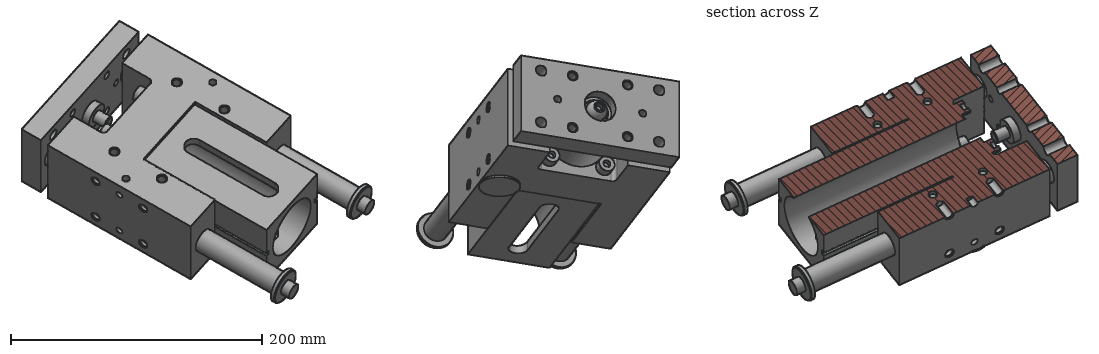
import cadquery as cq
import math

TOTAL_LENGTH = 256.0

PLATE_THICKNESS = 19.0
PLATE_WIDTH = 134.0
PLATE_HEIGHT = 68.0

ROD_DIAMETER = 20.0
ROD_SPACING = 104.0
WASHER_DIAMETER = 30.0
WASHER_THICKNESS = 3.8
WASHER_CHAMFER = 0.8
END_PIN_DIAMETER = 13.0
END_PIN_LENGTH = 8.0

COUPLING_BORE_DIAMETER = 26.0
COUPLING_BORE_DEPTH = 10.2
SOCKET_DIAMETER = 21.0
SOCKET_DEPTH = 12.3
BALL_DIAMETER = 17.5
BALL_CENTER_DEPTH = 9.0
BALL_FLAT_DIAMETER = 9.0
BALL_HOLE_DIAMETER = 6.0
BALL_HOLE_DEPTH = 4.0
COLLAR_DIAMETER = 21.0
COLLAR_LENGTH = 6.7
STUD_DIAMETER = 10.5
STUD_LENGTH = 12.0
STUD_CHAMFER = 0.8

HOUSING_GAP = 8.0
HOUSING_LENGTH = 140.0
HOUSING_WIDTH = 137.0
HOUSING_TOP = 35.0
NOTCH_DEPTH = 30.2
NOTCH_WIDTH = 66.0
NOTCH_CORNER_RADIUS = 3.5
FOOT_DIAMETER = 33.0
FOOT_HEIGHT = 1.8
FOOT_X = 93.0

BLOCK_LENGTH = 120.0
BLOCK_WIDTH = 69.0
BLOCK_HEIGHT = 65.0
POCKET_CLEARANCE = 0.8
SLOT_LENGTH = 88.8
SLOT_WIDTH = 15.5
SLOT_CENTER_FROM_BLOCK_FRONT = 60.7
BORE_DIAMETER = 51.7
GROOVE_HEIGHT = 3.0
GROOVE_DEPTH = 3.0

SCREW_HEAD_DIAMETER = 13.0
SCREW_HEAD_LENGTH = 8.0
SCREW_SOCKET_DIAMETER = 6.0
SCREW_SOCKET_DEPTH = 4.0

HOLE_PITCH = 46.5
TAPPED_DIAMETER = 6.7
TAPPED_MOUTH_DIAMETER = 8.5
TAPPED_DEPTH = 15.0
DRILL_TIP_ANGLE = 118
DOWEL_DIAMETER = 6.0
DOWEL_DEPTH = 8.0
TOP_TAPPED_SPACING = 85.5
TOP_DOWEL_SPACING = 118.8
PLATE_BOLT_DIAMETER = 9.0
PLATE_BOLT_SPACING = 99.8
PLATE_DOWEL_SPACING = 72.0

PLATE_BOTTOM = -PLATE_HEIGHT / 2
HOUSING_FRONT = PLATE_THICKNESS + HOUSING_GAP
HOUSING_REAR = HOUSING_FRONT + HOUSING_LENGTH
HOUSING_MIDDLE = HOUSING_FRONT + HOUSING_LENGTH / 2
HOUSING_BOTTOM = PLATE_BOTTOM
NOTCH_WALL = HOUSING_FRONT + NOTCH_DEPTH
BLOCK_FRONT = HOUSING_MIDDLE
BLOCK_REAR = BLOCK_FRONT + BLOCK_LENGTH


def box(x_start, x_end, width, z_bottom, z_top):
    """Box centred on Y = 0."""
    return (
        cq.Workplane("XY", origin=(0, 0, z_bottom))
        .moveTo((x_start + x_end) / 2, 0)
        .rect(x_end - x_start, width)
        .extrude(z_top - z_bottom)
    )


def cylinder_x(diameter, x_start, x_end, y=0.0, z=0.0):
    """Cylinder along X."""
    return cq.Workplane("YZ", origin=(x_start, y, z)).circle(diameter / 2).extrude(x_end - x_start)


def drill(body, plane, points, diameter, depth):
    """Flat-bottomed holes sunk into body from a plane whose normal points out of the body."""
    return body.cut(cq.Workplane(plane).pushPoints(points).circle(diameter / 2).extrude(-depth))


def tapped_holes(body, plane, points, depth):
    """Holes with a chamfered mouth, straight down to depth and then a conical drill tip."""
    radius = TAPPED_DIAMETER / 2
    mouth_radius = TAPPED_MOUTH_DIAMETER / 2
    chamfer = mouth_radius - radius
    tip = radius / math.tan(math.radians(DRILL_TIP_ANGLE / 2))
    profile = [
        (0, 0),
        (mouth_radius, 0),
        (radius, -chamfer),
        (radius, -depth),
        (0, -depth - tip),
    ]
    tool = cq.Workplane("XZ").polyline(profile).close().revolve(360, (0, 0, 0), (0, 1, 0)).val()
    for u, v in points:
        hole_plane = cq.Plane(origin=plane.toWorldCoords((u, v, 0)), xDir=plane.xDir, normal=plane.zDir)
        body = body.cut(cq.Workplane(tool.moved(cq.Location(hole_plane))))
    return body


def corners(u_spacing, v_spacing, u_center=0.0):
    """Four points of a rectangle centred on (u_center, 0)."""
    return [
        (u_center + u_side * u_spacing / 2, v_side * v_spacing / 2)
        for u_side in (-1, 1)
        for v_side in (-1, 1)
    ]


def coupling():
    """Ball with a flat and a round hole, carried by a collar and a stud behind the plate."""
    collar_end = PLATE_THICKNESS + COLLAR_LENGTH
    stud_end = collar_end + STUD_LENGTH
    ball_radius = BALL_DIAMETER / 2
    flat_depth = BALL_CENTER_DEPTH - math.sqrt(ball_radius**2 - (BALL_FLAT_DIAMETER / 2) ** 2)
    ball = (
        cq.Workplane("XY", origin=(BALL_CENTER_DEPTH, 0, 0))
        .sphere(ball_radius)
        .intersect(cylinder_x(BALL_DIAMETER, flat_depth, PLATE_THICKNESS))
        .cut(cylinder_x(BALL_HOLE_DIAMETER, flat_depth, flat_depth + BALL_HOLE_DEPTH))
    )
    collar = cylinder_x(COLLAR_DIAMETER, PLATE_THICKNESS, collar_end)
    stud = cylinder_x(STUD_DIAMETER, collar_end, stud_end).faces(">X").chamfer(STUD_CHAMFER)
    return ball.union(collar).union(stud)


def guide_rod(y):
    """Rod with a chamfered washer and an end pin."""
    washer_end = TOTAL_LENGTH - END_PIN_LENGTH
    washer_start = washer_end - WASHER_THICKNESS
    washer = cylinder_x(WASHER_DIAMETER, washer_start, washer_end, y).faces(">X").chamfer(WASHER_CHAMFER)
    return (
        cylinder_x(ROD_DIAMETER, PLATE_THICKNESS, washer_start, y)
        .union(washer)
        .union(cylinder_x(END_PIN_DIAMETER, washer_end, TOTAL_LENGTH, y))
    )


def make_carriage():
    plate = box(0, PLATE_THICKNESS, PLATE_WIDTH, PLATE_BOTTOM, -PLATE_BOTTOM)
    plate = plate.cut(cylinder_x(COUPLING_BORE_DIAMETER, 0, COUPLING_BORE_DEPTH))
    plate = plate.cut(cylinder_x(SOCKET_DIAMETER, 0, SOCKET_DEPTH))

    front_face = cq.Plane(origin=(0, 0, 0), xDir=(0, -1, 0), normal=(-1, 0, 0))
    plate = tapped_holes(plate, front_face, corners(HOLE_PITCH, HOLE_PITCH), PLATE_THICKNESS)
    bolts = corners(PLATE_BOLT_SPACING, HOLE_PITCH)
    plate = drill(plate, front_face, bolts, PLATE_BOLT_DIAMETER, PLATE_THICKNESS)
    dowels = [(-PLATE_DOWEL_SPACING / 2, 0), (PLATE_DOWEL_SPACING / 2, 0)]
    plate = drill(plate, front_face, dowels, DOWEL_DIAMETER, PLATE_THICKNESS)

    carriage = plate.union(coupling())
    for side in (-1, 1):
        carriage = carriage.union(guide_rod(side * ROD_SPACING / 2))
    return carriage


def housing_shell():
    """Housing block with the front notch, the rear pocket and the two rod bores."""
    shell = box(HOUSING_FRONT, HOUSING_REAR, HOUSING_WIDTH, HOUSING_BOTTOM, HOUSING_TOP)
    notch = (
        box(HOUSING_FRONT, NOTCH_WALL, NOTCH_WIDTH, HOUSING_BOTTOM, HOUSING_TOP)
        .edges("|Z and >X")
        .fillet(NOTCH_CORNER_RADIUS)
    )
    pocket_width = BLOCK_WIDTH + 2 * POCKET_CLEARANCE
    pocket = box(BLOCK_FRONT, HOUSING_REAR, pocket_width, HOUSING_BOTTOM, HOUSING_TOP)
    shell = shell.cut(notch).cut(pocket)
    for side in (-1, 1):
        shell = shell.cut(cylinder_x(ROD_DIAMETER, HOUSING_FRONT, HOUSING_REAR, side * ROD_SPACING / 2))
    return shell


def cylinder_block():
    """Block with a slot through its top and bottom and a groove along each side."""
    block = box(BLOCK_FRONT, BLOCK_REAR, BLOCK_WIDTH, -BLOCK_HEIGHT / 2, BLOCK_HEIGHT / 2)
    slot = (
        cq.Workplane("XY", origin=(BLOCK_FRONT + SLOT_CENTER_FROM_BLOCK_FRONT, 0, 0))
        .slot2D(SLOT_LENGTH, SLOT_WIDTH)
        .extrude(BLOCK_HEIGHT / 2, both=True)
    )
    block = block.cut(slot)
    for side in (-1, 1):
        groove = (
            cq.Workplane("YZ", origin=(BLOCK_FRONT, side * BLOCK_WIDTH / 2, 0))
            .rect(2 * GROOVE_DEPTH, GROOVE_HEIGHT)
            .extrude(BLOCK_LENGTH)
        )
        block = block.cut(groove)
    return block


def screw_head(y, z):
    """Head of a socket screw on the notch wall."""
    head_front = NOTCH_WALL - SCREW_HEAD_LENGTH
    socket = cylinder_x(SCREW_SOCKET_DIAMETER, head_front, head_front + SCREW_SOCKET_DEPTH, y, z)
    return cylinder_x(SCREW_HEAD_DIAMETER, head_front, NOTCH_WALL, y, z).cut(socket)


def make_housing():
    housing = housing_shell().union(cylinder_block())
    housing = housing.cut(cylinder_x(BORE_DIAMETER, NOTCH_WALL, BLOCK_REAR))
    for y, z in corners(HOLE_PITCH, HOLE_PITCH):
        housing = housing.union(screw_head(y, z))

    foot = (
        cq.Workplane("XY", origin=(FOOT_X, ROD_SPACING / 2, HOUSING_BOTTOM))
        .circle(FOOT_DIAMETER / 2)
        .extrude(-FOOT_HEIGHT)
    )
    housing = housing.union(foot)

    top_face = cq.Plane(origin=(HOUSING_MIDDLE, 0, HOUSING_TOP), xDir=(1, 0, 0), normal=(0, 0, 1))
    housing = tapped_holes(housing, top_face, corners(HOLE_PITCH, TOP_TAPPED_SPACING), TAPPED_DEPTH)
    top_dowels = [(0, -TOP_DOWEL_SPACING / 2), (0, TOP_DOWEL_SPACING / 2)]
    housing = drill(housing, top_face, top_dowels, DOWEL_DIAMETER, DOWEL_DEPTH)

    for side in (-1, 1):
        side_face = cq.Plane(
            origin=(HOUSING_MIDDLE, side * HOUSING_WIDTH / 2, 0), xDir=(1, 0, 0), normal=(0, side, 0)
        )
        housing = tapped_holes(housing, side_face, corners(HOLE_PITCH, HOLE_PITCH), TAPPED_DEPTH)
        side_dowels = [(0, -HOLE_PITCH / 2), (0, HOLE_PITCH / 2)]
        housing = drill(housing, side_face, side_dowels, DOWEL_DIAMETER, DOWEL_DEPTH)
    return housing


carriage = make_carriage()
housing = make_housing()
result = cq.Compound.makeCompound([carriage.solids().val(), housing.solids().val()])